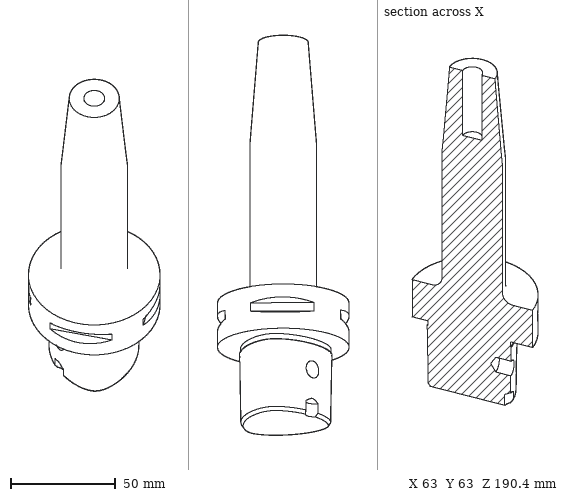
import cadquery as cq
import math

total_height = 190.4
flange_bottom = 38.0
flange_height = 22.0
flange_top = flange_bottom + flange_height
cone_start = 139.5

flange_diameter = 63.0
flange_radius = flange_diameter / 2
shaft_radius = 16.0
tip_radius = 12.0
root_fillet = 5.1
bore_radius = 5.0
bore_depth = 38.0

shank_top_radius = 22.0
shank_bottom_radius = 21.5
neck_radius = 21.7
lobe_height = 1.62
neck_height = 2.7
end_chamfer_height = 1.7
end_chamfer_width = 1.1
outline_point_count = 48

drill_radius = 4.2
drill_angle = 118.0
drill_tip_height = drill_radius / math.tan(math.radians(drill_angle / 2))
side_hole_z = 22.7
side_hole_depth = 7.6
notch_height = 6.5
notch_axis_offset = 1.3
flat_side_y = -(shank_bottom_radius - lobe_height)

slot_count = 4
slot_first_angle = 45.0
slot_z = 49.9
slot_floor_distance = 27.6
slot_floor_height = 4.2
slot_mouth_height = 7.6
slot_length = 2 * math.sqrt(flange_radius**2 - slot_floor_distance**2)


def lobed_point(radius, angle):
    """Point of a constant-width curve whose tangent faces the given angle."""
    phase = 3 * (angle - math.pi / 2)
    reach = radius + lobe_height * math.cos(phase)
    slide = -3 * lobe_height * math.sin(phase)
    return (
        reach * math.cos(angle) - slide * math.sin(angle),
        reach * math.sin(angle) + slide * math.cos(angle),
    )


def lobed_section(radius, z):
    step = 2 * math.pi / outline_point_count
    points = [lobed_point(radius, i * step) for i in range(outline_point_count)]
    return cq.Workplane("XY", origin=(0, 0, z)).spline(points, periodic=True).close().val()


def lobed_taper(bottom_radius, bottom_z, top_radius, top_z):
    sections = [lobed_section(bottom_radius, bottom_z), lobed_section(top_radius, top_z)]
    return cq.Workplane("XY").add(cq.Solid.makeLoft(sections, True))


def make_shank():
    neck_bottom = flange_bottom - neck_height
    chamfer = lobed_taper(
        shank_bottom_radius - end_chamfer_width, 0, shank_bottom_radius, end_chamfer_height
    )
    taper = lobed_taper(shank_bottom_radius, end_chamfer_height, shank_top_radius, neck_bottom)
    neck = lobed_taper(neck_radius, neck_bottom, neck_radius, flange_bottom)
    return chamfer.union(taper).union(neck)


def make_turned_body():
    """Flange, filleted shaft and tapered nose as one revolved profile."""
    fillet_mid = root_fillet * (1 - math.sqrt(0.5))
    return (
        cq.Workplane("XZ")
        .moveTo(0, flange_bottom)
        .lineTo(flange_radius, flange_bottom)
        .lineTo(flange_radius, flange_top)
        .lineTo(shaft_radius + root_fillet, flange_top)
        .threePointArc(
            (shaft_radius + fillet_mid, flange_top + fillet_mid),
            (shaft_radius, flange_top + root_fillet),
        )
        .lineTo(shaft_radius, cone_start)
        .lineTo(tip_radius, total_height)
        .lineTo(0, total_height)
        .close()
        .revolve(360, (0, 0, 0), (0, 1, 0))
    )


def drill(depth, start, direction):
    """Cylinder with a conical drill point beyond its full-diameter depth."""
    start = cq.Vector(*start)
    direction = cq.Vector(*direction)
    barrel = cq.Solid.makeCylinder(drill_radius, depth, start, direction)
    point = cq.Solid.makeCone(drill_radius, 0, drill_tip_height, start + direction * depth, direction)
    return cq.Workplane("XY").add(barrel.fuse(point))


def make_slot_cutter(angle):
    """Flat-floored slot with flared side walls, cut along a chord of the flange."""
    floor_half = slot_floor_height / 2
    mouth_half = slot_mouth_height / 2
    return (
        cq.Workplane("XZ", origin=(0, 0, slot_z))
        .polyline(
            [
                (slot_floor_distance, -floor_half),
                (flange_radius, -mouth_half),
                (flange_radius, mouth_half),
                (slot_floor_distance, floor_half),
            ]
        )
        .close()
        .extrude(slot_length / 2, both=True)
        .rotate((0, 0, 0), (0, 0, 1), angle)
    )


result = make_turned_body().union(make_shank())

bore = cq.Workplane("XY", origin=(0, 0, total_height)).circle(bore_radius).extrude(-bore_depth)
result = result.cut(bore)

side_hole_start = (0, -flange_radius, side_hole_z)
side_hole_reach = flange_radius + flat_side_y + side_hole_depth
result = result.cut(drill(side_hole_reach, side_hole_start, (0, 1, 0)))

result = result.cut(drill(notch_height, (0, flat_side_y - notch_axis_offset, 0), (0, 0, 1)))

for slot_index in range(slot_count):
    slot_angle = slot_first_angle + slot_index * 360 / slot_count
    result = result.cut(make_slot_cutter(slot_angle))